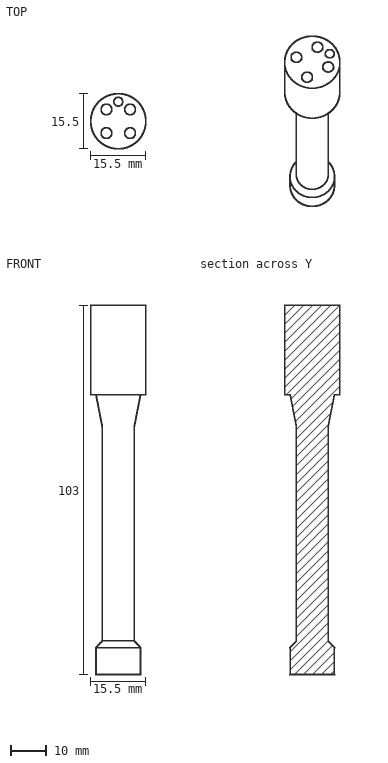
import cadquery as cq

total_height = 103.0
head_diameter = 15.5
neck_diameter = 12.5
shaft_diameter = 9.0
foot_diameter = 12.5

head_height = 25.0
neck_height = 9.0
foot_height = 7.5
foot_taper_height = 1.9

pin_hole_diameter = 3.0
pin_hole_spacing = 6.6
key_hole_diameter = 2.5
key_hole_offset = 5.5
hole_depth = 12.4

head_bottom = total_height - head_height
neck_bottom = head_bottom - neck_height
foot_taper_top = foot_height + foot_taper_height


def turned_body():
    """Revolve the stepped half profile about the Z axis."""
    profile = [
        (0, 0),
        (foot_diameter / 2, 0),
        (foot_diameter / 2, foot_height),
        (shaft_diameter / 2, foot_taper_top),
        (shaft_diameter / 2, neck_bottom),
        (neck_diameter / 2, head_bottom),
        (head_diameter / 2, head_bottom),
        (head_diameter / 2, total_height),
        (0, total_height),
    ]
    return cq.Workplane("XZ").polyline(profile).close().revolve(360, (0, 0), (0, 1))


def top_holes(positions, diameter):
    """Cylinders that reach down from the top face at the given positions."""
    return (
        cq.Workplane("XY", origin=(0, 0, total_height))
        .pushPoints(positions)
        .circle(diameter / 2)
        .extrude(-hole_depth)
    )


half_spacing = pin_hole_spacing / 2
pin_positions = [(x, y) for x in (-half_spacing, half_spacing) for y in (-half_spacing, half_spacing)]

result = (
    turned_body()
    .cut(top_holes(pin_positions, pin_hole_diameter))
    .cut(top_holes([(0, key_hole_offset)], key_hole_diameter))
)